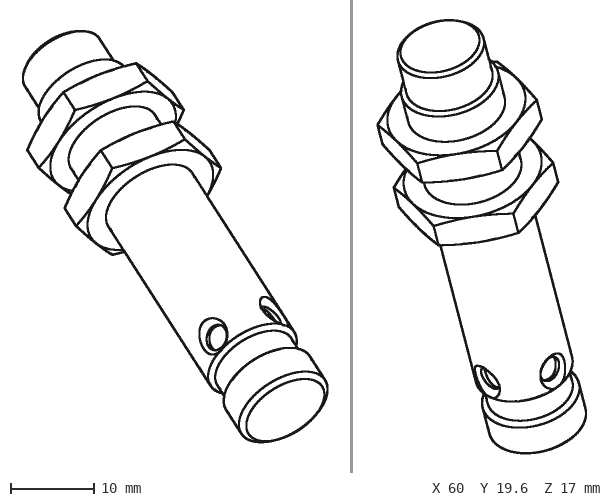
import cadquery as cq
import math

total_length = 60.0
body_radius = 6.0
nose_radius = 10.7 / 2
nose_length = 6.0
nose_chamfer = 0.5
shoulder_chamfer = 0.3
neck_radius = 10.55 / 2
neck_start = 51.7
neck_end = 54.9
neck_chamfer = 0.5
tail_chamfer_length = 0.55
tail_chamfer_height = 0.7

nut_across_flats = 17.0
nut_thickness = 4.0
nut_starts = (10.0, 20.0)
nut_chamfer_angle = 20.0

window_x = 48.9
window_count = 4
window_first_angle = 45.0
window_radius = 3.1 / 2
countersink_radius = 2.4
window_floor_radius = 4.8


def make_body():
    """Revolve the stepped profile about the X axis."""
    return (
        cq.Workplane("XY")
        .moveTo(0, 0)
        .lineTo(0, nose_radius - nose_chamfer)
        .lineTo(nose_chamfer, nose_radius)
        .lineTo(nose_length - shoulder_chamfer, nose_radius)
        .lineTo(nose_length, body_radius)
        .lineTo(neck_start - neck_chamfer, body_radius)
        .lineTo(neck_start, neck_radius)
        .lineTo(neck_end, neck_radius)
        .lineTo(neck_end + neck_chamfer, body_radius)
        .lineTo(total_length - tail_chamfer_length, body_radius)
        .lineTo(total_length, body_radius - tail_chamfer_height)
        .lineTo(total_length, 0)
        .close()
        .revolve(360, (0, 0, 0), (1, 0, 0))
    )


def make_nut(start):
    """Hexagon with corners on +/-Y, both faces chamfered by a cone tangent to the flats."""
    flat_radius = nut_across_flats / 2
    corner_radius = flat_radius / math.cos(math.pi / 6)
    slope = math.tan(math.radians(nut_chamfer_angle))
    chamfer_depth = (corner_radius - flat_radius) * slope
    end = start + nut_thickness
    hexagon = (
        cq.Workplane("YZ", origin=(start, 0, 0))
        .polygon(6, 2 * corner_radius)
        .extrude(nut_thickness)
    )
    envelope = (
        cq.Workplane("XY")
        .moveTo(start, 0)
        .lineTo(start, flat_radius)
        .lineTo(start + chamfer_depth, corner_radius)
        .lineTo(end - chamfer_depth, corner_radius)
        .lineTo(end, flat_radius)
        .lineTo(end, 0)
        .close()
        .revolve(360, (0, 0, 0), (1, 0, 0))
    )
    return hexagon.intersect(envelope)


def make_window_cutter(angle):
    """Radial hole with a 90 degree countersink and a floor concentric with the body."""
    countersink_bottom = body_radius - (countersink_radius - window_radius)
    rim_overrun = 0.6
    cutter = (
        cq.Workplane("XZ")
        .moveTo(0, 0)
        .lineTo(window_radius, 0)
        .lineTo(window_radius, countersink_bottom)
        .lineTo(countersink_radius + rim_overrun, body_radius + rim_overrun)
        .lineTo(0, body_radius + rim_overrun)
        .close()
        .revolve(360, (0, 0, 0), (0, 1, 0))
        .translate((window_x, 0, 0))
    )
    core = cq.Workplane("YZ").circle(window_floor_radius).extrude(total_length)
    return cutter.cut(core).rotate((0, 0, 0), (1, 0, 0), angle)


result = make_body()
for nut_start in nut_starts:
    result = result.union(make_nut(nut_start))
for index in range(window_count):
    window_angle = window_first_angle + index * 360 / window_count
    result = result.cut(make_window_cutter(window_angle))